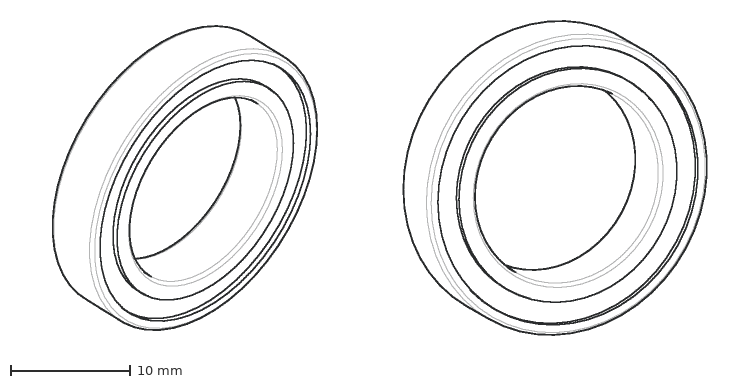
import cadquery as cq

outer_diameter = 26.0
bore_diameter = 17.0
width = 5.0
edge_radius = 0.3

recess_outer_diameter = 24.1
recess_inner_diameter = 20.2
recess_depth = 0.5


def tube(outside, inside, start_x, length):
    """Hollow cylinder along +X, starting at start_x."""
    return (
        cq.Workplane("YZ", origin=(start_x, 0, 0))
        .circle(outside / 2)
        .circle(inside / 2)
        .extrude(length)
    )


def ring_body():
    """Plain ring with rounded outer and bore edges on both end faces."""
    ring = tube(outer_diameter, bore_diameter, -width / 2, width)
    return ring.faces("<X or >X").edges().fillet(edge_radius)


def face_recess(start_x):
    """Cutter for one seal recess."""
    return tube(recess_outer_diameter, recess_inner_diameter, start_x, recess_depth)


result = ring_body()
for recess_start in (-width / 2, width / 2 - recess_depth):
    result = result.cut(face_recess(recess_start))